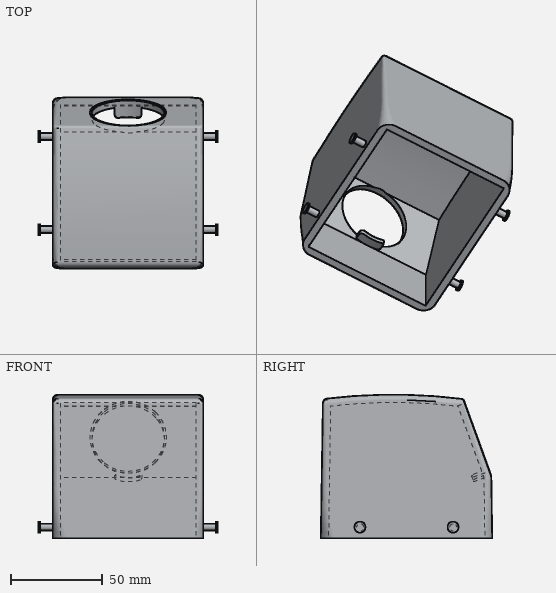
import cadquery as cq
import math

WIDTH = 82.5
DEPTH = 94.0
WALL = 4.2
CROWN_Z = 78.8
SHOULDER_Z = 76.3
BEND_Z = 34.2
FRONT_TAPER = 1.2
BACK_TAPER = 0.5
SLOPE_ANGLE = 20.0

TOP_EDGE_RADIUS = 3.0
SLOPE_TOP_RADIUS = 2.0
BEND_RADIUS = 11.0
BASE_CORNER_RADIUS = 7.5
BEND_CORNER_RADIUS = 3.0
TOP_CORNER_RADIUS = 1.3
FRONT_CORNER = (
    (0, BASE_CORNER_RADIUS), (0.12, 4.7), (0.24, 3.1), (0.5, 2.4), (1, TOP_CORNER_RADIUS)
)
BACK_CORNER = ((0, BASE_CORNER_RADIUS), (0.5, 4.7), (1, BEND_CORNER_RADIUS))
SLOPE_CORNER = ((0, BEND_CORNER_RADIUS), (1, TOP_CORNER_RADIUS))

ENTRY_Y = 38.7
ENTRY_RADIUS = 19.8
RECESS_RADIUS = 20.9
RECESS_DEPTH = 0.4
TAB_WIDTH = 14.8
TAB_REACH = 10.3
TAB_THICKNESS = 2.45
TAB_CORNER_RADIUS = 2.2

PIN_TIP_X = 49.0
PIN_Y = 25.5
PIN_Z = 6.2
PIN_RADIUS = 2.0
HEAD_RADIUS = 3.0
HEAD_THICKNESS = 1.0

TOLERANCE = 0.1

slope_radians = math.radians(SLOPE_ANGLE)
front_base_y = -DEPTH / 2
front_top_y = front_base_y + FRONT_TAPER
back_base_y = DEPTH / 2
bend_y = back_base_y - BACK_TAPER
slope_top_y = bend_y - (SHOULDER_Z - BEND_Z) * math.tan(slope_radians)
crown_y = (front_top_y + slope_top_y) / 2

entry_z = BEND_Z + (bend_y - ENTRY_Y) / math.tan(slope_radians)
entry_plane = cq.Plane(
    origin=(0, ENTRY_Y, entry_z),
    xDir=(1, 0, 0),
    normal=(0, -math.cos(slope_radians), -math.sin(slope_radians)),
)


def side_profile(bottom_z=0):
    """Outline seen along X; its leaning front and back run straight on to bottom_z."""
    front_bottom_y = front_base_y + FRONT_TAPER * bottom_z / SHOULDER_Z
    back_bottom_y = back_base_y - BACK_TAPER * bottom_z / BEND_Z
    return (
        cq.Workplane("YZ")
        .moveTo(front_bottom_y, bottom_z)
        .lineTo(back_bottom_y, bottom_z)
        .lineTo(bend_y, BEND_Z)
        .lineTo(slope_top_y, SHOULDER_Z)
        .threePointArc((crown_y, CROWN_Z), (front_top_y, SHOULDER_Z))
        .close()
    )


def edge_radii(edge):
    """Radius law (share of length, radius) for one sharp edge; None for the edges of the open base."""
    box = edge.BoundingBox()
    middle = edge.Center()
    if box.zmax < TOLERANCE:
        return None
    if box.xlen > TOLERANCE:
        if middle.z < BEND_Z + TOLERANCE:
            radius = BEND_RADIUS
        elif middle.y > 0:
            radius = SLOPE_TOP_RADIUS
        else:
            radius = TOP_EDGE_RADIUS
        return (0, radius), (1, radius)
    if box.ylen > box.zlen:
        return (0, TOP_EDGE_RADIUS), (1, TOP_EDGE_RADIUS)
    if middle.y < 0:
        law = FRONT_CORNER
    elif middle.z < BEND_Z:
        law = BACK_CORNER
    else:
        law = SLOPE_CORNER
    if edge.startPoint().z > edge.endPoint().z:
        law = [(1 - share, radius) for share, radius in reversed(law)]
    return law


def rounded_body():
    """Extruded side profile with roundings whose radius may change along an edge."""
    shapes = cq.occ_impl.shapes
    sharp_body = side_profile().extrude(WIDTH / 2, both=True)
    rounding = shapes.BRepFilletAPI_MakeFillet(sharp_body.val().wrapped)
    for edge in sharp_body.edges().vals():
        radii = edge_radii(edge)
        if radii is None:
            continue
        if len({radius for _, radius in radii}) == 1:
            rounding.Add(radii[0][1], edge.wrapped)
            continue
        law = shapes.TColgp_HArray1OfPnt2d(1, len(radii))
        for index, (share, radius) in enumerate(radii, start=1):
            law.SetValue(index, shapes.gp_Pnt2d(share, radius))
        rounding.Add(law.Array1(), edge.wrapped)
    return cq.Workplane(cq.Shape.cast(rounding.Shape()))


def cavity():
    """Body shape inset by the wall, started below the base so that the base is open."""
    inset_profile = side_profile(-2 * WALL).offset2D(-WALL, "intersection")
    return inset_profile.extrude(WIDTH / 2 - WALL, both=True)


def entry_bore():
    recess = cq.Workplane(entry_plane).circle(RECESS_RADIUS).extrude(RECESS_DEPTH)
    return cq.Workplane(entry_plane).circle(ENTRY_RADIUS).extrude(TAB_REACH).union(recess)


def entry_tab():
    """Curved tongue that carries the lower side of the bore into the cavity."""
    start = WALL / 2
    ring = (
        cq.Workplane(entry_plane)
        .circle(ENTRY_RADIUS + TAB_THICKNESS)
        .circle(ENTRY_RADIUS)
        .extrude(TAB_REACH)
    )
    outline = (
        cq.Workplane(entry_plane)
        .workplane(offset=start)
        .center(0, -ENTRY_RADIUS)
        .rect(TAB_WIDTH, ENTRY_RADIUS)
        .extrude(TAB_REACH - start)
        .faces(cq.DirectionMinMaxSelector(entry_plane.zDir))
        .edges("not(|X)")
        .fillet(TAB_CORNER_RADIUS)
    )
    return ring.intersect(outline)


def pin(y):
    """Headed pin on the +X side, rooted halfway into the wall."""
    root_x = (WIDTH - WALL) / 2
    shaft = cq.Workplane("YZ", origin=(root_x, y, PIN_Z)).circle(PIN_RADIUS).extrude(PIN_TIP_X - root_x)
    head = cq.Workplane("YZ", origin=(PIN_TIP_X, y, PIN_Z)).circle(HEAD_RADIUS).extrude(-HEAD_THICKNESS)
    return shaft.union(head)


hood = rounded_body().cut(cavity()).cut(entry_bore()).union(entry_tab())
for pin_y in (-PIN_Y, PIN_Y):
    hood = hood.union(pin(pin_y)).union(pin(pin_y).mirror("YZ"))

result = hood.solids()